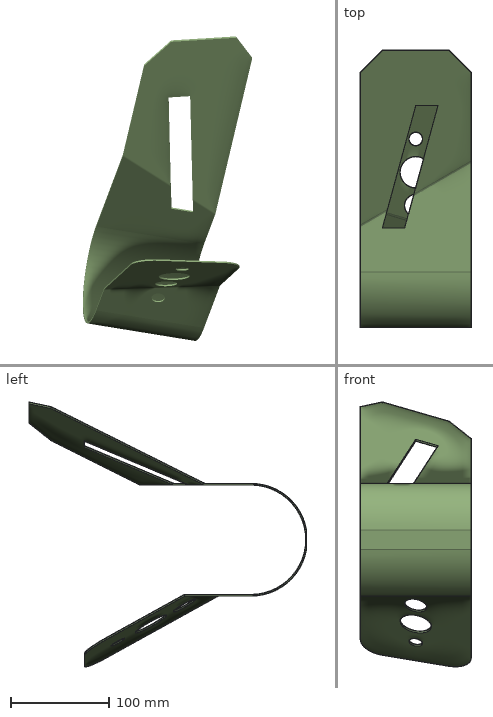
import cadquery as cq
import math

grid = 11.304
width = 10 * grid
length = 25 * grid

thickness = 0.15 * grid
band_radius = 5 * grid
outer_radius = band_radius + thickness / 2
inner_radius = band_radius - thickness / 2
band_center_y = band_radius

fold_angle = math.radians(30)
bend_radius = thickness
bend_outer_radius = bend_radius + thickness

upper_fold_slant = math.radians(30)
upper_fold_right_y = 15 * grid
upper_fold_left_y = upper_fold_right_y - width * math.tan(upper_fold_slant)
end_chamfer = 2 * grid

slot_width = 2 * grid
slot_start_x = 2 * grid
slot_end_x = 5 * grid
slot_start_y = 9 * grid
slot_end_y = 20 * grid

lower_end_y = 20 * grid
lower_fold_left_y = 11 * grid
lower_fold_right_y = 8 * grid
end_corner_radius = 2 * grid
lower_holes = [
    (8 * grid, 1.2 * grid),
    (11 * grid, 2.0 * grid),
    (14 * grid, 2.8 * grid),
    (17 * grid, 1.2 * grid),
]


def upright_prism(outline):
    """Extrude a closed plan outline far enough up and down to pass through both legs."""
    return outline.extrude(length, both=True)


def folded_sheet(left_y, right_y):
    """Oversized flat sheet on z = inner_radius, folded up beyond the line (0, left_y)-(width, right_y)."""
    slant = math.atan2(right_y - left_y, width)
    along_fold = cq.Vector(math.cos(slant), math.sin(slant), 0)
    across_fold = cq.Vector(-math.sin(slant), math.cos(slant), 0)
    fold_middle = cq.Vector(width / 2, (left_y + right_y) / 2, inner_radius)
    plane = cq.Plane(origin=fold_middle, xDir=across_fold, normal=along_fold)

    bend_start = -bend_outer_radius * math.tan(fold_angle / 2)

    def bend_point(radius, angle):
        x = bend_start + radius * math.sin(angle)
        y = bend_outer_radius - radius * math.cos(angle)
        return x, y

    def flange_tip(radius):
        x, y = bend_point(radius, fold_angle)
        return x + length * math.cos(fold_angle), y + length * math.sin(fold_angle)

    profile = (
        cq.Workplane(plane)
        .moveTo(-length, thickness)
        .lineTo(*bend_point(bend_radius, 0))
        .threePointArc(bend_point(bend_radius, fold_angle / 2), bend_point(bend_radius, fold_angle))
        .lineTo(*flange_tip(bend_radius))
        .lineTo(*flange_tip(bend_outer_radius))
        .lineTo(*bend_point(bend_outer_radius, fold_angle))
        .threePointArc(bend_point(bend_outer_radius, fold_angle / 2), bend_point(bend_outer_radius, 0))
        .lineTo(-length, 0)
        .close()
    )
    return profile.extrude(length, both=True)


def make_band():
    """Half ring at the nose of the clip, trimmed flat at y = 0."""
    ring = (
        cq.Workplane("YZ")
        .center(band_center_y, 0)
        .circle(outer_radius)
        .circle(inner_radius)
        .extrude(width)
    )
    nose_outline = cq.Workplane("XY").rect(width, band_center_y, centered=False)
    return ring.intersect(upright_prism(nose_outline))


def make_upper_leg():
    """Leg with two chamfered end corners and a slanted slot running across its fold."""
    outline = (
        cq.Workplane("XY")
        .moveTo(0, band_center_y)
        .lineTo(width, band_center_y)
        .lineTo(width, length - end_chamfer)
        .lineTo(width - end_chamfer, length)
        .lineTo(end_chamfer, length)
        .lineTo(0, length - end_chamfer)
        .close()
    )
    slot = (
        cq.Workplane("XY")
        .moveTo(slot_start_x, slot_start_y)
        .lineTo(slot_start_x + slot_width, slot_start_y)
        .lineTo(slot_end_x + slot_width, slot_end_y)
        .lineTo(slot_end_x, slot_end_y)
        .close()
    )
    sheet = folded_sheet(upper_fold_left_y, upper_fold_right_y)
    return sheet.intersect(upright_prism(outline)).cut(upright_prism(slot))


def make_lower_leg():
    """Leg folded downward, with rounded end corners and a row of holes cut vertically."""
    outline = (
        cq.Workplane("XY")
        .center(0, band_center_y)
        .rect(width, lower_end_y - band_center_y, centered=False)
    )
    blank = upright_prism(outline).faces(">Y").edges("|Z").fillet(end_corner_radius)
    sheet = folded_sheet(lower_fold_left_y, lower_fold_right_y).mirror("XY")
    leg = sheet.intersect(blank)
    for hole_y, diameter in lower_holes:
        hole = cq.Workplane("XY").center(width / 2, hole_y).circle(diameter / 2)
        leg = leg.cut(upright_prism(hole))
    return leg


result = make_band().union(make_upper_leg()).union(make_lower_leg())